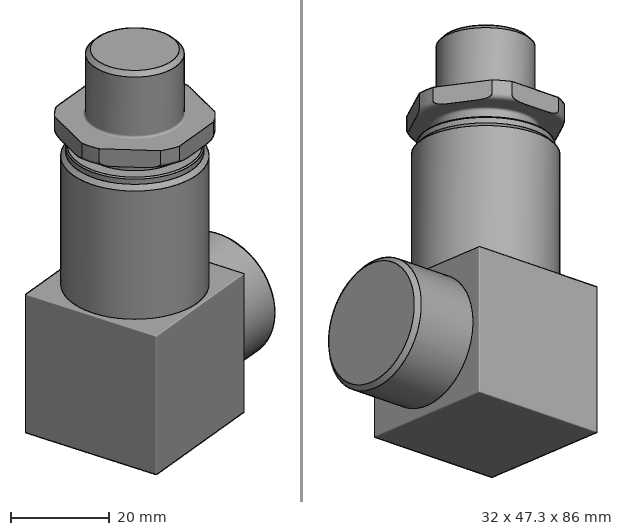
import cadquery as cq

block_size = 32.0
block_edge_fillet = 0.25

port_diameter = 28.0
port_length = 15.0
port_chamfer = 1.0

sleeve_diameter = 30.0
sleeve_length = 30.5
shoulder_diameter = 28.0
shoulder_height = 1.5
shoulder_chamfer = 0.3
sleeve_chamfer = (sleeve_diameter - shoulder_diameter) / 2

neck_diameter = 21.95
neck_height = 3.0
hex_across_flats = 30.0
hex_corner_diameter = 32.5
hex_height = 4.0
hex_corner_fillet = 1.0
stem_diameter = 20.0
stem_length = 15.0
stem_tip_chamfer = 1.0
root_fillet = 0.5

sleeve_base_z = block_size
shoulder_base_z = sleeve_base_z + sleeve_length
neck_base_z = shoulder_base_z + shoulder_height
hex_base_z = neck_base_z + neck_height
hex_top_z = hex_base_z + hex_height


def cylinder_at(base_z, diameter, height):
    """Upright cylinder on the Z axis."""
    return cq.Workplane("XY").workplane(offset=base_z).circle(diameter / 2).extrude(height)


def make_block():
    cube = cq.Workplane("XY").box(block_size, block_size, block_size, centered=(True, True, False))
    return cube.edges().fillet(block_edge_fillet)


def make_port():
    rear_face = cq.Workplane("XZ", origin=(0, block_size / 2, block_size / 2))
    return rear_face.circle(port_diameter / 2).extrude(-port_length).faces(">Y").chamfer(port_chamfer)


def make_sleeve():
    barrel = cylinder_at(sleeve_base_z, sleeve_diameter, sleeve_length)
    barrel = barrel.faces(">Z").chamfer(sleeve_chamfer)
    shoulder = cylinder_at(shoulder_base_z, shoulder_diameter, shoulder_height)
    shoulder = shoulder.faces(">Z").chamfer(shoulder_chamfer)
    return barrel.union(shoulder)


def make_hexagon():
    """Hexagon with corners on the Y axis, its corners turned round and filleted below."""
    prism = (
        cq.Workplane("XY")
        .workplane(offset=hex_base_z)
        .polygon(6, hex_across_flats, circumscribed=True)
        .extrude(hex_height)
    )
    turned_blank = cylinder_at(hex_base_z, hex_corner_diameter, hex_height)
    turned_blank = turned_blank.faces("<Z").edges().fillet(hex_corner_fillet)
    return prism.intersect(turned_blank)


def make_fitting():
    neck = cylinder_at(neck_base_z, neck_diameter, neck_height)
    stem = cylinder_at(hex_top_z, stem_diameter, stem_length)
    stem = stem.faces(">Z").chamfer(stem_tip_chamfer)
    fitting = make_hexagon().union(neck).union(stem)
    for root_z, root_diameter in ((hex_base_z, neck_diameter), (hex_top_z, stem_diameter)):
        reach = root_diameter / 2 + root_fillet / 2
        root_edge = cq.selectors.BoxSelector(
            (-reach, -reach, root_z - root_fillet / 2),
            (reach, reach, root_z + root_fillet / 2),
            boundingbox=True,
        )
        fitting = fitting.edges(root_edge).fillet(root_fillet)
    return fitting


block = make_block()
port = make_port()
sleeve = make_sleeve()
fitting = make_fitting()

result = cq.Compound.makeCompound([block.val(), port.val(), sleeve.val(), fitting.val()])